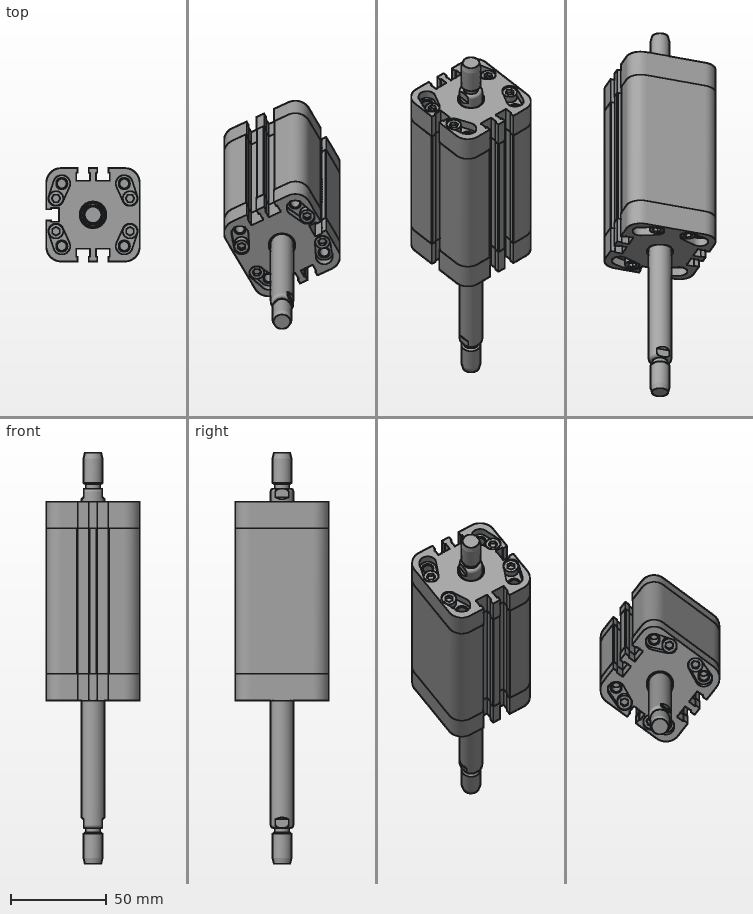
import cadquery as cq
import math

total_height = 215.0
cap_height = 14.0
housing_bottom = 85.4
housing_top = 189.5
barrel_height = housing_top - housing_bottom - 2 * cap_height

side = 49.0
corner_radius = 8.0
half_side = side / 2

slot_depth = 6.7
slot_mouth_width = 5.8
slot_inner_width = 7.0
slot_lip = 2.5
slot_offset = 5.2
barrel_slot_chamfer = 0.5

pocket_depth = 4.7
mount_offset = 16.3
mount_pocket_diameter = 8.8
mount_hole_diameter = 5.0
mount_countersink_diameter = 6.0
screw_x = 19.4
screw_y = 8.5
screw_pocket_diameter = 8.0
screw_head_diameter = 7.5
screw_head_height = 3.9
socket_width = 3.9
socket_depth = 2.2

rod_diameter = 12.0
tip_diameter = 8.5
tip_chamfer_height = 3.0
thread_diameter = 10.0
thread_end = 15.7
thread_runout = 0.9
neck_diameter = 7.7
shoulder_start = 18.7
shoulder_diameter = 8.5
shoulder_radius = (rod_diameter - shoulder_diameter) / 2
flat_width = 9.9
flat_end = 23.2
flat_runout = (rod_diameter - flat_width) / 2

seal_opening_diameter = 14.0
seal_inner_diameter = 12.5
seal_depth = 1.0


def slot_cutter(height, mouth_chamfer=0.0):
    """T-slot cut along Z from Z = 0, its mouth on the Y = 0 plane and its floor towards +Y."""
    mouth = slot_mouth_width / 2
    inner = slot_inner_width / 2
    half = [
        (mouth + mouth_chamfer, 0),
        (mouth, mouth_chamfer),
        (mouth, slot_lip),
        (inner, slot_lip),
        (inner, slot_depth),
    ]
    if mouth_chamfer == 0:
        half = half[1:]
    mirrored_half = [(-x, y) for x, y in reversed(half)]
    return cq.Workplane("XY").polyline(half + mirrored_half).close().extrude(height)


def slotted_block(height, mouth_chamfer=0.0):
    """Rounded square block on Z = 0 with its five T-slots and the bore for the rod."""
    block = cq.Workplane("XY").rect(side, side).extrude(height)
    block = block.edges("|Z").fillet(corner_radius)
    slot = slot_cutter(height, mouth_chamfer).translate((0, -half_side, 0))
    for x in (-slot_offset, slot_offset):
        placed_slot = slot.translate((x, 0, 0))
        block = block.cut(placed_slot).cut(placed_slot.mirror("XZ"))
    block = block.cut(slot.rotate((0, 0, 0), (0, 0, 1), -90))
    bore = cq.Workplane("XY").circle(rod_diameter / 2).extrude(height)
    return block.cut(bore)


def tapered_pocket(x_sign, y_sign):
    """Pocket outlined by a mounting circle, a screw circle and their two common tangents."""
    mount = (x_sign * mount_offset, y_sign * mount_offset)
    screw = (x_sign * screw_x, y_sign * screw_y)
    mount_radius = mount_pocket_diameter / 2
    screw_radius = screw_pocket_diameter / 2
    step = (screw[0] - mount[0], screw[1] - mount[1])
    distance = math.hypot(*step)
    direction = math.atan2(step[1], step[0])
    tangent_angle = math.acos((mount_radius - screw_radius) / distance)

    def on_circle(center, radius, angle):
        return (center[0] + radius * math.cos(angle), center[1] + radius * math.sin(angle))

    left = direction + tangent_angle
    right = direction - tangent_angle
    return (
        cq.Workplane("XY", origin=(0, 0, cap_height - pocket_depth))
        .moveTo(*on_circle(mount, mount_radius, right))
        .lineTo(*on_circle(screw, screw_radius, right))
        .threePointArc(on_circle(screw, screw_radius, direction), on_circle(screw, screw_radius, left))
        .lineTo(*on_circle(mount, mount_radius, left))
        .threePointArc(
            on_circle(mount, mount_radius, direction + math.pi), on_circle(mount, mount_radius, right)
        )
        .close()
        .extrude(pocket_depth)
    )


def screw_head(x_sign, y_sign):
    """Socket head standing on the pocket floor; the hexagons of the -Y pair are turned by 30 degrees."""
    turn = 0 if y_sign > 0 else 30
    head = cq.Workplane("XY").circle(screw_head_diameter / 2).extrude(screw_head_height)
    socket_corners = socket_width / math.cos(math.pi / 6)
    socket = (
        cq.Workplane("XY", origin=(0, 0, screw_head_height - socket_depth))
        .polygon(6, socket_corners)
        .extrude(socket_depth)
        .rotate((0, 0, 0), (0, 0, 1), turn)
    )
    place = (x_sign * screw_x, y_sign * screw_y, cap_height - pocket_depth)
    return head.cut(socket).translate(place)


def seal_opening():
    """Conical opening around the rod at the outer face of the cap."""
    return (
        cq.Workplane("XY", origin=(0, 0, cap_height - seal_depth))
        .circle(seal_inner_diameter / 2)
        .workplane(offset=seal_depth)
        .circle(seal_opening_diameter / 2)
        .loft()
    )


def mounting_hole(x_sign, y_sign):
    """Hole through the cap, countersunk where it meets the pocket floor."""
    hole_radius = mount_hole_diameter / 2
    countersink_radius = mount_countersink_diameter / 2
    floor = cap_height - pocket_depth
    profile = [
        (0, 0),
        (hole_radius, 0),
        (hole_radius, floor - (countersink_radius - hole_radius)),
        (countersink_radius, floor),
        (0, floor),
    ]
    hole = cq.Workplane("XZ").polyline(profile).close().revolve(360, (0, 0), (0, 1))
    return hole.translate((x_sign * mount_offset, y_sign * mount_offset, 0))


def end_cap():
    """Cap with its inner face on Z = 0 and its screw pockets open at the top."""
    cap = slotted_block(cap_height).cut(seal_opening())
    for x_sign in (-1, 1):
        for y_sign in (-1, 1):
            cap = cap.cut(tapered_pocket(x_sign, y_sign))
            cap = cap.cut(mounting_hole(x_sign, y_sign))
            cap = cap.union(screw_head(x_sign, y_sign))
    return cap


def barrel_body():
    """Barrel between the caps, its slot mouths slightly chamfered."""
    barrel = slotted_block(barrel_height, barrel_slot_chamfer)
    return barrel.translate((0, 0, housing_bottom + cap_height))


def piston_rod():
    """Rod turned about Z with the same threaded end at both tips and flats facing +X and -X."""
    lower_end = [
        (tip_diameter / 2, 0),
        (thread_diameter / 2, tip_chamfer_height),
        (thread_diameter / 2, thread_end),
        (neck_diameter / 2, thread_end + thread_runout),
        (neck_diameter / 2, shoulder_start),
        (shoulder_diameter / 2, shoulder_start),
    ]
    upper_end = [(radius, total_height - z) for radius, z in reversed(lower_end)]
    round_center_z = shoulder_start + shoulder_radius
    diagonal = shoulder_radius * math.sqrt(0.5)
    middle_radius = shoulder_diameter / 2 + diagonal
    middle_z = round_center_z - diagonal
    rod_radius = rod_diameter / 2
    rod = (
        cq.Workplane("XZ")
        .polyline([(0, 0)] + lower_end)
        .threePointArc((middle_radius, middle_z), (rod_radius, round_center_z))
        .lineTo(rod_radius, total_height - round_center_z)
        .threePointArc((middle_radius, total_height - middle_z), upper_end[0])
    )
    for point in upper_end[1:]:
        rod = rod.lineTo(*point)
    rod = rod.lineTo(0, total_height).close().revolve(360, (0, 0), (0, 1))

    flat_profile = [
        (flat_width / 2, shoulder_start),
        (rod_radius, shoulder_start),
        (rod_radius, flat_end + flat_runout),
        (flat_width / 2, flat_end),
    ]
    flat = cq.Workplane("XZ").polyline(flat_profile).close().extrude(rod_radius, both=True)
    for lower_flat in (flat, flat.mirror("YZ")):
        upper_flat = lower_flat.mirror("XY").translate((0, 0, total_height))
        rod = rod.cut(lower_flat).cut(upper_flat)
    return rod


cap = end_cap()
top_cap = cap.translate((0, 0, housing_top - cap_height))
bottom_cap = cap.mirror("XY").translate((0, 0, housing_bottom + cap_height))
barrel = barrel_body()
rod = piston_rod()

result = cq.Compound.makeCompound([top_cap.val(), bottom_cap.val(), barrel.val(), rod.val()])